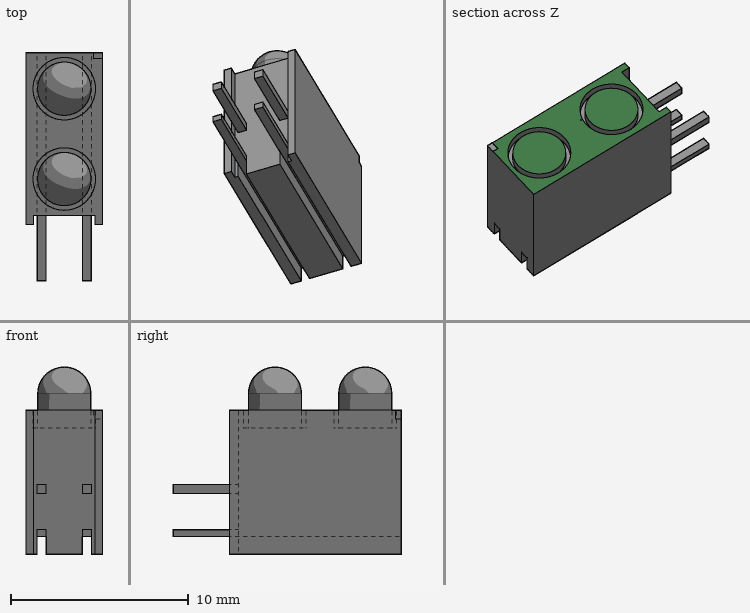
import cadquery as cq

housing_width = 4.32
housing_depth = 9.67
housing_height = 8.12
flange_width = 0.44
flange_depth = 0.51
front_face_y = flange_depth - housing_depth

lamp_radius = 1.5
lamp_height = 2.42
lamp_pitch = 5.08
rear_lamp_y = -2.03
lamp_positions = [rear_lamp_y, rear_lamp_y - lamp_pitch]
well_radius = 1.76
well_depth = 1.0

overall_depth = 12.83
lead_pitch = 2.54
lead_width = 0.51
lead_length = overall_depth - housing_depth + flange_depth
lower_lead_bottom = 1.0
lower_lead_height = 0.4
upper_lead_bottom = 3.43
upper_lead_height = lead_width
lead_rows = [
    (lower_lead_bottom, lower_lead_height),
    (upper_lead_bottom, upper_lead_height),
]
lead_centres = [-lead_pitch / 2, lead_pitch / 2]

slot_width = 0.5
slot_height = lower_lead_bottom

notch_width = 0.51
notch_length = 0.33
notch_depth = 0.5


def block(width, depth, height, centre_x, rear_y, bottom_z):
    """Box centred at centre_x, extending from rear_y towards -Y and up from bottom_z."""
    box = cq.Workplane("XY").box(width, depth, height, centered=(True, False, False))
    return box.translate((centre_x, rear_y - depth, bottom_z))


def make_housing():
    housing = block(housing_width, housing_depth, housing_height, 0, 0, 0)
    recess_width = housing_width - 2 * flange_width
    housing = housing.cut(block(recess_width, flange_depth, housing_height, 0, front_face_y, 0))
    for x in lead_centres:
        housing = housing.cut(block(slot_width, housing_depth, slot_height, x, 0, 0))
    notch_x = (housing_width - notch_width) / 2
    notch_bottom = housing_height - notch_depth
    return housing.cut(block(notch_width, notch_length, notch_depth, notch_x, 0, notch_bottom))


def make_well(y):
    well_bottom = housing_height - well_depth
    return cq.Workplane("XY", origin=(0, y, well_bottom)).circle(well_radius).extrude(well_depth)


def make_lamp(y):
    """Barrel rising from the well floor, closed by a hemispherical dome."""
    dome_base = housing_height + lamp_height - lamp_radius
    well_bottom = housing_height - well_depth
    barrel_height = dome_base - well_bottom
    barrel = cq.Workplane("XY", origin=(0, y, well_bottom)).circle(lamp_radius).extrude(barrel_height)
    dome = cq.Workplane("XY", origin=(0, y, dome_base)).sphere(lamp_radius)
    return barrel.union(dome)


result = make_housing()
for lamp_y in lamp_positions:
    result = result.cut(make_well(lamp_y))
    result = result.union(make_lamp(lamp_y))
for lead_x in lead_centres:
    for lead_bottom, lead_height in lead_rows:
        lead = block(lead_width, lead_length, lead_height, lead_x, front_face_y, lead_bottom)
        result = result.union(lead)